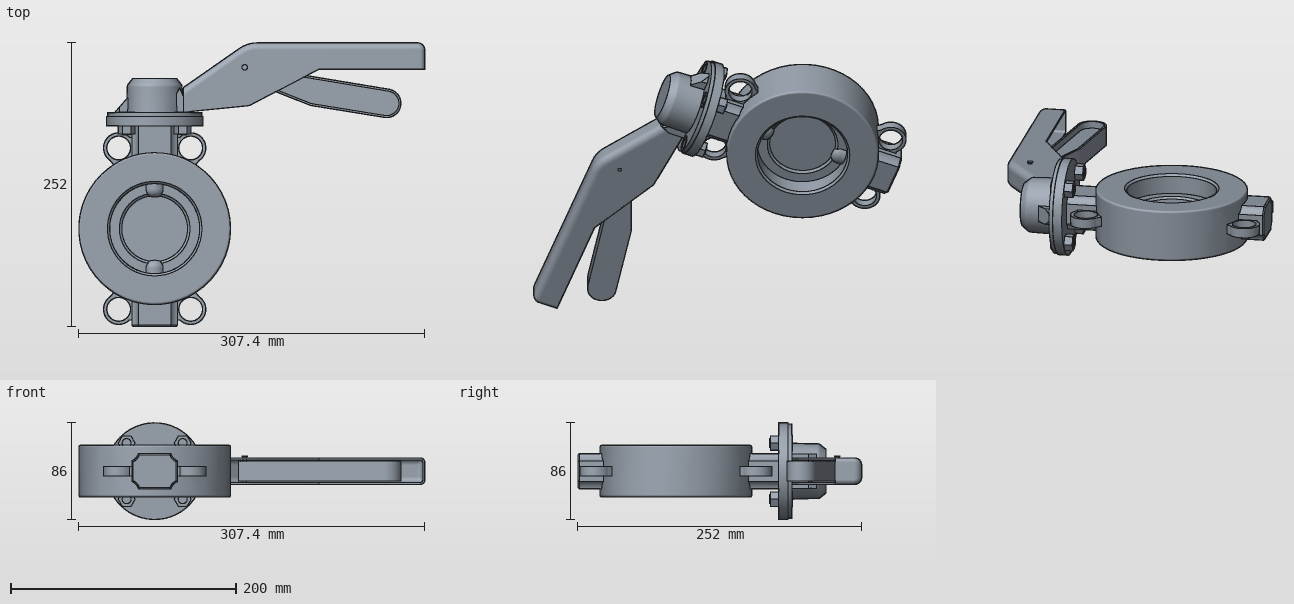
import cadquery as cq
import math


RING_DIAMETER = 135.0
RING_HEIGHT = 46.0
RING_EDGE_FILLET = 1.8
BORE_DIAMETER = 80.0
BORE_MOUTH_DIAMETER = 84.0

BOSS_WIDTH = 40.5
BOSS_HEIGHT = 31.5
BOSS_CORNER_X = 5.8
BOSS_CORNER_Z = 6.5
BOSS_CORNER_DEPTH = 0.62
BOSS_END_CHAMFER = 1.2
BOSS_START = 46.0
BOTTOM_BOSS_END = 87.0

EYELET_X = 32.0
EYELET_Y = 71.5
EYELET_DIAMETER = 27.0
EYELET_HOLE_DIAMETER = 21.0
EYELET_THICKNESS = 8.5
EYELET_ROOT_RADIUS = 60.0
EYELET_ROOT_HALF_WIDTH = 8.3
EYELET_LINK_TOP = 81.0

FLANGE_DIAMETER = 86.0
FLANGE_BOTTOM = 91.3
PLATE_BOTTOM = 99.5
PLATE_TOP = 103.0
PLATE_DIAMETER = 84.0

BOLT_OFFSET = 25.0
BOLT_DIAMETER = 8.0
BOLT_HEAD_DIAMETER = 14.0
BOLT_HEAD_HEIGHT = 0.5
NUT_WIDTH_ACROSS_CORNERS = 15.0
NUT_HEIGHT = 7.5
BOLT_END_HEIGHT = 1.0
BOLT_PLACES = [(sx * BOLT_OFFSET, sz * BOLT_OFFSET) for sx in (-1, 1) for sz in (-1, 1)]

CAP_BASE_DIAMETER = 50.0
CAP_SHOULDER_DIAMETER = 49.0
CAP_CONE_DIAMETER = 46.7
CAP_TOP_DIAMETER = 39.0
CAP_SHOULDER_Y = 126.0
CAP_CONE_Y = 128.5
CAP_TOP_Y = 133.5
CAP_SHOULDER_BULGE = 0.2
STOP_WIDTH = 14.5
STOP_TIP_WIDTH = 4.3
STOP_TIP_X = 35.7
STOP_FACE_X = 31.0
STOP_TOP_Y = 116.0
SOCKET_END_X = 25.5
SOCKET_START_X = 18.5
SOCKET_WIDTH = 30.7
SOCKET_TOP_Y = 117.7
SOCKET_PEAK_Y = 124.8

DISC_THICKNESS = 10.5
DISC_RECESS_DIAMETER = 62.7
DISC_FLOOR_DIAMETER = 58.5
DISC_RECESS_DEPTH = 1.8
HUB_DIAMETER = 18.5
HUB_INNER_Y = 28.0
HUB_END_FILLET = 6.8

LEVER_WIDTH = 23.7
LEVER_WALL = 1.8
LEVER_EDGE_FILLET = 6.5
LEVER_END_FILLET = 4.0
LEVER_END_X = 239.92
LEVER_TOP_Y = 165.0
LEVER_GRIP_BOTTOM_Y = 141.5
LEVER_GRIP_START_X = 145.7
LEVER_HEEL_X = 84.0
LEVER_HEEL_Y = 109.0
LEVER_HEEL_FILLET = 9.2
LEVER_BEND_X = 82.5
LEVER_BEND_RADIUS = 27.5
LEVER_ROOT_TOP_Y = 125.5
LEVER_ROOT_BOTTOM_Y = 103.3

PIVOT_X = 80.0
PIVOT_Y = 143.2
PIVOT_DIAMETER = 3.0
PIVOT_HEAD_DIAMETER = 5.0
PIVOT_HEAD_HEIGHT = 1.5
TRIGGER_HEIGHT = 17.8
TRIGGER_WALL = 1.8
TRIGGER_POCKET_DEPTH = 6.0
TRIGGER_TIP_RADIUS = 12.75
TRIGGER_TIP_X = 206.0
TRIGGER_TIP_Y = 111.3
TRIGGER_SLOPE = 9.2
TRIGGER_KNEE_X = 138.3
TRIGGER_BACK_X = 74.5
TRIGGER_BACK_TOP_Y = 146.0
TRIGGER_BACK_BOTTOM_Y = 134.5


def prism_z(points, height):
    """Polygon in the XY plane, extruded evenly to both sides of z = 0."""
    return cq.Workplane("XY").polyline(points).close().extrude(height / 2, both=True)


def cylinder_z(diameter, height):
    """Cylinder on the valve axis, centred on z = 0."""
    return cq.Workplane("XY").cylinder(height, diameter / 2)


def cylinder_y(diameter, start, end, x=0, z=0):
    """Cylinder parallel to the stem axis."""
    return (
        cq.Workplane("XZ", origin=(0, start, 0))
        .center(x, z)
        .circle(diameter / 2)
        .extrude(start - end)
    )


def cut_bolt_holes(body):
    for x, z in BOLT_PLACES:
        body = body.cut(cylinder_y(BOLT_DIAMETER, FLANGE_BOTTOM, PLATE_TOP, x, z))
    return body


def make_boss(end):
    """Rectangular boss with hollowed corners that runs along +Y."""
    half_x = BOSS_WIDTH / 2
    half_z = BOSS_HEIGHT / 2
    flat_x = half_x - BOSS_CORNER_X
    flat_z = half_z - BOSS_CORNER_Z
    mid_x = half_x - BOSS_CORNER_X * BOSS_CORNER_DEPTH
    mid_z = half_z - BOSS_CORNER_Z * BOSS_CORNER_DEPTH
    return (
        cq.Workplane("XZ", origin=(0, BOSS_START, 0))
        .moveTo(-flat_x, half_z)
        .lineTo(flat_x, half_z)
        .threePointArc((mid_x, mid_z), (half_x, flat_z))
        .lineTo(half_x, -flat_z)
        .threePointArc((mid_x, -mid_z), (flat_x, -half_z))
        .lineTo(-flat_x, -half_z)
        .threePointArc((-mid_x, -mid_z), (-half_x, -flat_z))
        .lineTo(-half_x, flat_z)
        .threePointArc((-mid_x, mid_z), (-flat_x, half_z))
        .close()
        .extrude(BOSS_START - end)
    )


def make_eyelet():
    """Eyelet in the +X, +Y quarter, with its foot on the ring and a link to the boss."""
    eye = cq.Workplane("XY").center(EYELET_X, EYELET_Y).circle(EYELET_DIAMETER / 2)
    eye = eye.extrude(EYELET_THICKNESS / 2, both=True)
    length = math.hypot(EYELET_X, EYELET_Y)
    along = (EYELET_X / length, EYELET_Y / length)
    across = (along[1], -along[0])
    half_eye = EYELET_DIAMETER / 2
    foot = prism_z(
        [
            (EYELET_X + across[0] * half_eye, EYELET_Y + across[1] * half_eye),
            (
                along[0] * EYELET_ROOT_RADIUS + across[0] * EYELET_ROOT_HALF_WIDTH,
                along[1] * EYELET_ROOT_RADIUS + across[1] * EYELET_ROOT_HALF_WIDTH,
            ),
            (0, EYELET_ROOT_RADIUS),
            (0, EYELET_LINK_TOP),
            (EYELET_X, EYELET_LINK_TOP),
        ],
        EYELET_THICKNESS,
    )
    hole = cq.Workplane("XY").center(EYELET_X, EYELET_Y).circle(EYELET_HOLE_DIAMETER / 2)
    return eye.union(foot).cut(hole.extrude(EYELET_THICKNESS, both=True))


def make_housing():
    """Ring with its bosses, eyelets and flange, bored through along Z."""
    ring = cylinder_z(RING_DIAMETER, RING_HEIGHT).faces("<Z or >Z").edges().fillet(RING_EDGE_FILLET)
    bottom_boss = make_boss(BOTTOM_BOSS_END).faces(">Y").chamfer(BOSS_END_CHAMFER)
    housing = ring.union(make_boss(FLANGE_BOTTOM)).union(bottom_boss.mirror("XZ"))
    eyelet = make_eyelet()
    for copy in (eyelet, eyelet.mirror("YZ")):
        housing = housing.union(copy).union(copy.mirror("XZ"))
    housing = housing.union(cylinder_y(FLANGE_DIAMETER, FLANGE_BOTTOM, PLATE_BOTTOM))
    bore = cylinder_z(BORE_DIAMETER, 2 * RING_HEIGHT)
    mouth_depth = (BORE_MOUTH_DIAMETER - BORE_DIAMETER) / 2
    mouth = cq.Workplane("XY", origin=(0, 0, RING_HEIGHT / 2)).circle(BORE_MOUTH_DIAMETER / 2)
    mouth = mouth.extrude(-mouth_depth, taper=45)
    housing = housing.cut(bore).cut(mouth).cut(mouth.mirror("XY"))
    return cut_bolt_holes(housing)


def make_disc():
    """Disc with a shallow recess in each face and a rounded hub at each end of the stem axis."""
    disc = cylinder_z(BORE_DIAMETER, DISC_THICKNESS)
    slope = math.degrees(
        math.atan2((DISC_RECESS_DIAMETER - DISC_FLOOR_DIAMETER) / 2, DISC_RECESS_DEPTH)
    )
    recess = cq.Workplane("XY", origin=(0, 0, DISC_THICKNESS / 2))
    recess = recess.circle(DISC_RECESS_DIAMETER / 2).extrude(-DISC_RECESS_DEPTH, taper=slope)
    disc = disc.cut(recess).cut(recess.mirror("XY"))
    hub = cylinder_y(HUB_DIAMETER, HUB_INNER_Y, BORE_DIAMETER / 2)
    hub = hub.faces("<Y").edges().fillet(HUB_END_FILLET)
    hub = hub.intersect(cylinder_z(BORE_DIAMETER, RING_HEIGHT))
    return disc.union(hub).union(hub.mirror("XZ"))


def make_stop():
    """Stop rib at -X with a narrowed nose and a sloping top."""
    side = prism_z(
        [
            (-STOP_TIP_X, PLATE_TOP),
            (0, PLATE_TOP),
            (0, STOP_TOP_Y),
            (-CAP_SHOULDER_DIAMETER / 2, STOP_TOP_Y),
        ],
        STOP_WIDTH,
    )
    plan = (
        cq.Workplane("XZ", origin=(0, PLATE_TOP, 0))
        .polyline(
            [
                (0, STOP_WIDTH / 2),
                (-STOP_FACE_X, STOP_WIDTH / 2),
                (-STOP_TIP_X, STOP_TIP_WIDTH / 2),
                (-STOP_TIP_X, -STOP_TIP_WIDTH / 2),
                (-STOP_FACE_X, -STOP_WIDTH / 2),
                (0, -STOP_WIDTH / 2),
            ]
        )
        .close()
        .extrude(PLATE_TOP - STOP_TOP_Y)
    )
    return side.intersect(plan)


def make_cap():
    """Cap with its round plate, the stop at -X and the lever socket at +X."""
    mid_shoulder = (CAP_SHOULDER_DIAMETER + CAP_CONE_DIAMETER) / 4 + CAP_SHOULDER_BULGE
    cap = (
        cq.Workplane("XY")
        .moveTo(0, PLATE_BOTTOM)
        .lineTo(PLATE_DIAMETER / 2, PLATE_BOTTOM)
        .lineTo(PLATE_DIAMETER / 2, PLATE_TOP)
        .lineTo(CAP_BASE_DIAMETER / 2, PLATE_TOP)
        .lineTo(CAP_SHOULDER_DIAMETER / 2, CAP_SHOULDER_Y)
        .threePointArc(
            (mid_shoulder, (CAP_SHOULDER_Y + CAP_CONE_Y) / 2),
            (CAP_CONE_DIAMETER / 2, CAP_CONE_Y),
        )
        .lineTo(CAP_TOP_DIAMETER / 2, CAP_TOP_Y)
        .lineTo(0, CAP_TOP_Y)
        .close()
        .revolve(360, (0, 0, 0), (0, 1, 0))
    )
    socket = prism_z(
        [
            (SOCKET_START_X, PLATE_TOP),
            (SOCKET_END_X, PLATE_TOP),
            (SOCKET_END_X, SOCKET_TOP_Y),
            ((SOCKET_START_X + SOCKET_END_X) / 2, SOCKET_PEAK_Y),
            (SOCKET_START_X, SOCKET_TOP_Y),
        ],
        SOCKET_WIDTH,
    )
    return cut_bolt_holes(cap.union(make_stop()).union(socket))


def lever_block():
    """Lever outline as a full block, with its heel and bend rounded."""
    block = prism_z(
        [
            (SOCKET_END_X, LEVER_ROOT_BOTTOM_Y),
            (LEVER_HEEL_X, LEVER_HEEL_Y),
            (LEVER_GRIP_START_X, LEVER_GRIP_BOTTOM_Y),
            (LEVER_END_X, LEVER_GRIP_BOTTOM_Y),
            (LEVER_END_X, LEVER_TOP_Y),
            (LEVER_BEND_X, LEVER_TOP_Y),
            (SOCKET_END_X, LEVER_ROOT_TOP_Y),
        ],
        LEVER_WIDTH,
    )
    heel = cq.selectors.NearestToPointSelector((LEVER_HEEL_X, LEVER_HEEL_Y, 0))
    bend = cq.selectors.NearestToPointSelector((LEVER_BEND_X, LEVER_TOP_Y, 0))
    return block.edges(heel).fillet(LEVER_HEEL_FILLET).edges(bend).fillet(LEVER_BEND_RADIUS)


def pivot_cylinder(half_length):
    pin = cq.Workplane("XY").center(PIVOT_X, PIVOT_Y).circle(PIVOT_DIAMETER / 2)
    return pin.extrude(half_length, both=True)


def is_open_side(face):
    """True for the lever faces that look down towards the hand or back towards the cap."""
    normal = face.normalAt()
    return normal.y < -0.3 or normal.x < -0.9


def make_lever():
    """Thin channel closed along the spine and at the grip end."""
    block = lever_block().edges("|Y").edges(">X").fillet(LEVER_END_FILLET)
    rounded = block.faces(">Y").edges("not <X").fillet(LEVER_EDGE_FILLET)
    open_sides = rounded.faces().filter(is_open_side).vals()
    lever = rounded.newObject(open_sides).shell(-LEVER_WALL)
    return lever.cut(pivot_cylinder(LEVER_WIDTH))


def make_trigger():
    """Tray with a round tip, a knee in its lower edge and a pocket in its upper side."""
    slope = math.radians(TRIGGER_SLOPE)
    normal = (math.sin(slope) * TRIGGER_TIP_RADIUS, math.cos(slope) * TRIGGER_TIP_RADIUS)
    forward = (math.cos(slope) * TRIGGER_TIP_RADIUS, -math.sin(slope) * TRIGGER_TIP_RADIUS)
    knee_rise = (TRIGGER_TIP_X - normal[0] - TRIGGER_KNEE_X) * math.tan(slope)
    knee_y = TRIGGER_TIP_Y - normal[1] + knee_rise
    outline = (
        cq.Workplane("XY")
        .moveTo(TRIGGER_BACK_X, TRIGGER_BACK_TOP_Y)
        .lineTo(TRIGGER_TIP_X + normal[0], TRIGGER_TIP_Y + normal[1])
        .threePointArc(
            (TRIGGER_TIP_X + forward[0], TRIGGER_TIP_Y + forward[1]),
            (TRIGGER_TIP_X - normal[0], TRIGGER_TIP_Y - normal[1]),
        )
        .lineTo(TRIGGER_KNEE_X, knee_y)
        .lineTo(TRIGGER_BACK_X, TRIGGER_BACK_BOTTOM_Y)
        .close()
    )
    block = outline.extrude(TRIGGER_HEIGHT / 2, both=True)
    pocket = (
        block.faces(">Z")
        .wires()
        .toPending()
        .offset2D(-TRIGGER_WALL)
        .extrude(-TRIGGER_POCKET_DEPTH, combine=False)
    )
    return block.cut(pocket).cut(pivot_cylinder(TRIGGER_HEIGHT))


def make_pivot_pin():
    """Pin through the lever and the trigger, with a flared head on the lever's upper side."""
    head = cq.Workplane("XY", origin=(PIVOT_X, PIVOT_Y, LEVER_WIDTH / 2))
    head = head.circle(PIVOT_DIAMETER / 2).workplane(offset=PIVOT_HEAD_HEIGHT)
    head = head.circle(PIVOT_HEAD_DIAMETER / 2).loft()
    return pivot_cylinder(LEVER_WIDTH / 2).union(head)


def make_bolt(x, z):
    """Bolt with a flat head on the plate and a hexagonal nut under the flange."""
    head = cylinder_y(BOLT_HEAD_DIAMETER, PLATE_TOP, PLATE_TOP + BOLT_HEAD_HEIGHT, x, z)
    nut = (
        cq.Workplane("XZ", origin=(0, FLANGE_BOTTOM - NUT_HEIGHT, 0))
        .center(x, z)
        .polygon(6, NUT_WIDTH_ACROSS_CORNERS)
        .extrude(-NUT_HEIGHT)
    )
    shank = cylinder_y(BOLT_DIAMETER, FLANGE_BOTTOM - NUT_HEIGHT - BOLT_END_HEIGHT, PLATE_TOP, x, z)
    return shank.union(nut).union(head)


housing = make_housing()
disc = make_disc()
cap = make_cap()
lever = make_lever()
trigger = make_trigger()
pivot_pin = make_pivot_pin()
bolts = [make_bolt(x, z) for x, z in BOLT_PLACES]

result = cq.Compound.makeCompound(
    [
        housing.val(),
        disc.val(),
        cap.val(),
        lever.val(),
        trigger.val(),
        pivot_pin.val(),
        *[bolt.val() for bolt in bolts],
    ]
)